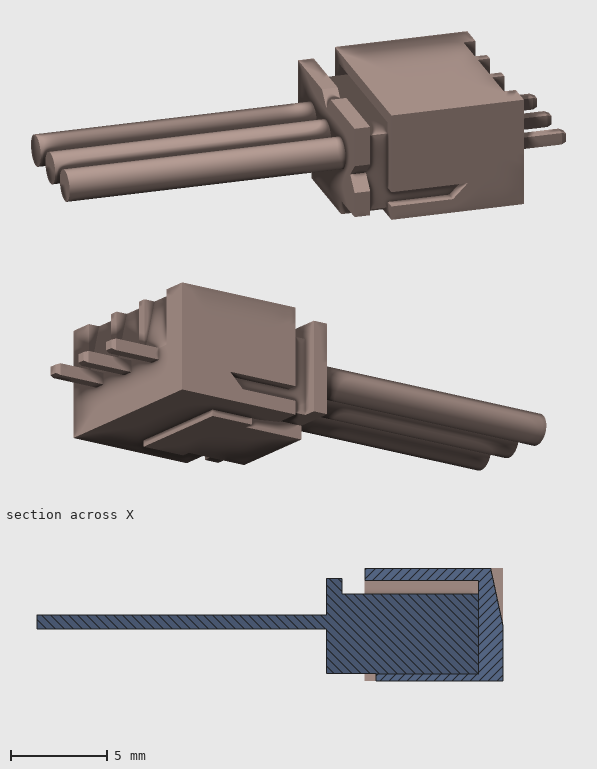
import cadquery as cq


pole_pitch = 2.5
pole_positions = [-pole_pitch, 0, pole_pitch]
connector_width = 9.8
connector_height = 6.2
cavity_floor_z = 0.75

housing_length = 7.2
housing_bottom_z = 0.35
wall = 0.65
rear_wall = 2 * wall
cavity_depth = housing_length - rear_wall
cavity_width = connector_width - 2 * wall
cavity_top_z = connector_height - wall

tab_width = 6.2
tab_end_y = 4.0
tab_neck_width = 5.15
tab_step_y = 1.5
slot_mouth_width = 6.85
slot_lead_in = 1.1

side_slot_bottom_z = 1.1
side_slot_height = 0.8
side_slot_top_length = 4.15
side_slot_bottom_length = side_slot_top_length - side_slot_height

pin_size = 0.64
pin_length = 2.97
pin_z = 2.86
pin_tip_length = 0.25
pin_tip_inset = 0.09

rear_notch_width = 2.0
rear_notch_depth = wall
rear_notch_bottom_z = pin_z + pin_size / 2

body_width = 8.3
body_top_z = 4.9
body_gap = 1.15
plate_thickness = 0.85
plate_top_z = 5.7
plate_back_y = -body_gap
plate_front_y = plate_back_y - plate_thickness
key_depth = 0.75
side_key_z = 2.85

wire_diameter = 1.7
wire_length = 15.0
wire_z = 3.42


def box(width, y_start, y_end, z_bottom, z_top):
    """Block centred on X = 0, spanning the given Y and Z ranges."""
    size = (width, y_end - y_start, z_top - z_bottom)
    return cq.Workplane("XY").box(*size, centered=(True, False, False)).translate((0, y_start, z_bottom))


def make_latch_slot():
    """Cutter for the floor slot, with a flared lead-in at the mouth."""
    half_mouth = slot_mouth_width / 2
    half_slot = tab_width / 2
    outline = [
        (-half_mouth, 0),
        (half_mouth, 0),
        (half_slot, slot_lead_in),
        (half_slot, tab_end_y),
        (-half_slot, tab_end_y),
        (-half_slot, slot_lead_in),
    ]
    return cq.Workplane("XY").polyline(outline).close().extrude(cavity_floor_z)


def make_side_slots():
    """Cutter for the slots through both side walls, open at the mouth, with a slanted inner end."""
    top_z = side_slot_bottom_z + side_slot_height
    outline = [
        (0, side_slot_bottom_z),
        (side_slot_bottom_length, side_slot_bottom_z),
        (side_slot_top_length, top_z),
        (0, top_z),
    ]
    return cq.Workplane("YZ").polyline(outline).close().extrude(connector_width / 2, both=True)


def make_rear_notch(x):
    """Cutter for one ramped notch in the top rear edge."""
    outline = [
        (housing_length - rear_notch_depth, connector_height),
        (housing_length, connector_height),
        (housing_length, rear_notch_bottom_z),
    ]
    notch = cq.Workplane("YZ").polyline(outline).close().extrude(rear_notch_width / 2, both=True)
    return notch.translate((x, 0, 0))


def make_pin(x):
    """Square pin with a tapered tip, rooted in the rear wall."""
    shank_end_y = housing_length + pin_length - pin_tip_length
    tip_size = pin_size - 2 * pin_tip_inset
    half = pin_size / 2
    shank = box(pin_size, cavity_depth, shank_end_y, pin_z - half, pin_z + half)
    tip = (
        cq.Workplane("XZ", origin=(0, shank_end_y, pin_z))
        .rect(pin_size, pin_size)
        .workplane(offset=-pin_tip_length)
        .rect(tip_size, tip_size)
        .loft(ruled=True)
    )
    return shank.union(tip).translate((x, 0, 0))


def make_housing():
    """Header shell with its slots, notches and pins."""
    shell = box(connector_width, 0, housing_length, housing_bottom_z, connector_height)
    shell = shell.cut(box(cavity_width, 0, cavity_depth, cavity_floor_z, cavity_top_z))
    shell = shell.cut(make_latch_slot()).cut(make_side_slots())
    for x in pole_positions:
        shell = shell.cut(make_rear_notch(x)).union(make_pin(x))
    return shell


def make_plate():
    """End plate of the plug, with V-shaped keys in its top edge and its +X edge."""
    half_width = connector_width / 2
    outline = [
        (-half_width, cavity_floor_z),
        (half_width, cavity_floor_z),
        (half_width, side_key_z - key_depth),
        (half_width - key_depth, side_key_z),
        (half_width, side_key_z + key_depth),
        (half_width, plate_top_z),
        (key_depth, plate_top_z),
        (0, plate_top_z - key_depth),
        (-key_depth, plate_top_z),
        (-half_width, plate_top_z),
    ]
    plate = cq.Workplane("XZ", origin=(0, plate_back_y, 0)).polyline(outline).close()
    return plate.extrude(plate_thickness)


def make_wire(x):
    """Round wire leaving the end plate towards -Y."""
    plane = cq.Plane(origin=(x, plate_front_y, wire_z), xDir=(0, 0, 1), normal=(0, -1, 0))
    return cq.Workplane(plane).circle(wire_diameter / 2).extrude(wire_length)


def make_plug():
    """Plug body, end plate, stepped latch tab and wires."""
    plug = box(body_width, plate_back_y, cavity_depth, cavity_floor_z, body_top_z)
    plug = plug.union(make_plate())
    plug = plug.union(box(tab_neck_width, plate_front_y, tab_step_y, 0, cavity_floor_z))
    plug = plug.union(box(tab_width, tab_step_y, tab_end_y, 0, cavity_floor_z))
    for x in pole_positions:
        plug = plug.union(make_wire(x))
    return plug


housing = make_housing()
plug = make_plug()

result = cq.Compound.makeCompound([housing.val(), plug.val()])